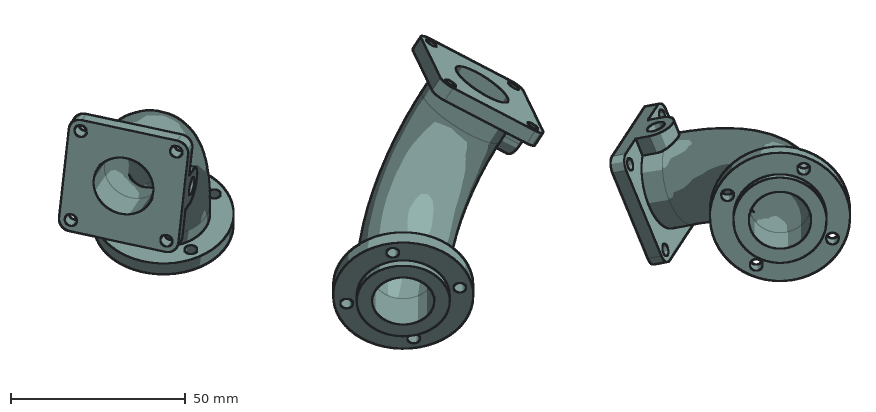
import cadquery as cq
import math

tube_diameter = 26.7
bore_diameter = 17.8
bend_radius = 44.45
bend_angle = 70.0
outlet_straight_length = 6.775

flange_diameter = 40.2
flange_thickness = 4.5
spigot_length = 2.35
neck_length = 4.5
flange_hole_circle_diameter = 33.0

plate_size = 35.7
plate_thickness = 4.5
plate_hole_spacing = 28.6
plate_corner_radius = (plate_size - plate_hole_spacing) / 2

bolt_hole_diameter = 3.6

port_diameter = 11.0
port_hole_diameter = 5.3
port_reach = plate_size / 2
port_setback = 4.6

bend_start_height = spigot_length + flange_thickness + neck_length
bend_angle_rad = math.radians(bend_angle)
outlet_length = outlet_straight_length + plate_thickness
outlet_direction = cq.Vector(0, -math.sin(bend_angle_rad), math.cos(bend_angle_rad))
outlet_normal = outlet_direction.cross(cq.Vector(1, 0, 0))


def bend_point(angle):
    """Centerline point (y, z) at an angle, in radians, along the bend."""
    y = -bend_radius * (1 - math.cos(angle))
    z = bend_start_height + bend_radius * math.sin(angle)
    return y, z


def outlet_point(distance):
    """Centerline point (y, z) at a distance past the end of the bend."""
    y, z = bend_point(bend_angle_rad)
    return y - distance * math.sin(bend_angle_rad), z + distance * math.cos(bend_angle_rad)


def tube_solid(diameter):
    """Solid rod of the given diameter along the whole centerline."""
    centerline = (
        cq.Workplane("YZ")
        .moveTo(0, 0)
        .lineTo(0, bend_start_height)
        .threePointArc(bend_point(bend_angle_rad / 2), bend_point(bend_angle_rad))
        .lineTo(*outlet_point(outlet_length))
    )
    return cq.Workplane("XY").circle(diameter / 2).sweep(centerline)


def round_flange():
    bolt_spacing = flange_hole_circle_diameter / math.sqrt(2)
    return (
        cq.Workplane("XY")
        .workplane(offset=spigot_length)
        .circle(flange_diameter / 2)
        .extrude(flange_thickness)
        .faces(">Z")
        .workplane()
        .rect(bolt_spacing, bolt_spacing, forConstruction=True)
        .vertices()
        .hole(bolt_hole_diameter)
    )


def square_flange():
    """Rounded square plate, perpendicular to the outlet at its end."""
    y, z = outlet_point(outlet_straight_length)
    plate_plane = cq.Plane(origin=(0, y, z), xDir=(1, 0, 0), normal=outlet_direction)
    plate = cq.Workplane(plate_plane).rect(plate_size, plate_size).extrude(plate_thickness)
    plate = plate.edges(cq.ParallelDirSelector(outlet_direction)).fillet(plate_corner_radius)
    holes = (
        cq.Workplane(plate_plane)
        .rect(plate_hole_spacing, plate_hole_spacing, forConstruction=True)
        .vertices()
        .circle(bolt_hole_diameter / 2)
        .extrude(plate_thickness)
    )
    return plate.cut(holes)


def port_plane():
    """YZ plane centered on the port axis, with local y pointing along the outlet."""
    y, z = outlet_point(outlet_straight_length - port_setback)
    return cq.Plane(origin=(0, y, z), xDir=outlet_normal, normal=(1, 0, 0))


def port_boss():
    """Boss along X with a half-round back and flat sides running to the plate."""
    radius = port_diameter / 2
    return (
        cq.Workplane(port_plane())
        .moveTo(-radius, port_setback)
        .lineTo(-radius, 0)
        .threePointArc((0, -radius), (radius, 0))
        .lineTo(radius, port_setback)
        .close()
        .extrude(port_reach)
    )


def port_hole():
    """Hole along X from the tube centerline through the end of the boss."""
    return cq.Workplane(port_plane()).circle(port_hole_diameter / 2).extrude(port_reach)


body = tube_solid(tube_diameter).union(round_flange()).union(square_flange()).union(port_boss())
result = body.cut(tube_solid(bore_diameter)).cut(port_hole())